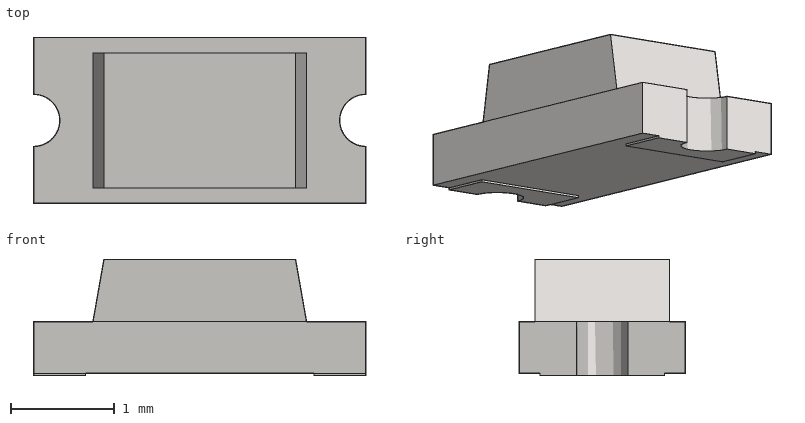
import cadquery as cq
import math

overall_height = 1.12

board_length = 3.2
board_width = 1.6
board_thickness = 0.5
notch_radius = 0.25

pad_length = 0.5
pad_width = 1.2
pad_thickness = 0.02

lens_base_length = 2.06
lens_width = 1.3
lens_draft_angle = 10.0

board_top = pad_thickness + board_thickness
lens_height = overall_height - board_top
lens_top_length = lens_base_length - 2 * lens_height * math.tan(math.radians(lens_draft_angle))

end_sides = (-1, 1)


def make_board():
    return (
        cq.Workplane("XY")
        .workplane(offset=pad_thickness)
        .rect(board_length, board_width)
        .extrude(board_thickness)
    )


def make_pad(side):
    """Solder pad flush with one end of the board."""
    center_x = side * (board_length - pad_length) / 2
    return (
        cq.Workplane("XY")
        .center(center_x, 0)
        .rect(pad_length, pad_width)
        .extrude(pad_thickness)
    )


def make_lens():
    """Trapezoidal prism with sloped ends and vertical sides."""
    return (
        cq.Workplane("XZ")
        .moveTo(-lens_base_length / 2, board_top)
        .lineTo(lens_base_length / 2, board_top)
        .lineTo(lens_top_length / 2, overall_height)
        .lineTo(-lens_top_length / 2, overall_height)
        .close()
        .extrude(lens_width / 2, both=True)
    )


def make_notch(side):
    """Round cutter on one end face, passing through board and pad."""
    return (
        cq.Workplane("XY")
        .center(side * board_length / 2, 0)
        .circle(notch_radius)
        .extrude(board_top)
    )


result = make_board().union(make_lens())
for side in end_sides:
    result = result.union(make_pad(side))
    result = result.cut(make_notch(side))